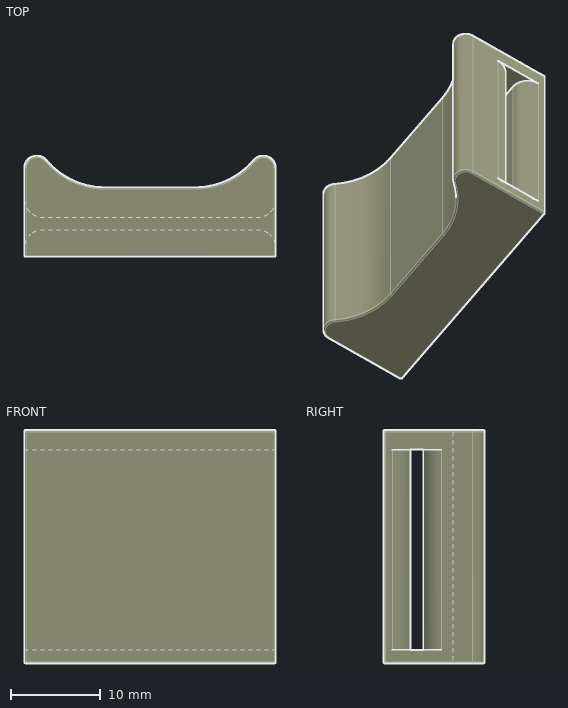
import cadquery as cq
import math

width = 28.0
depth = 11.28
height = 26.0
edge_radius = 0.2

floor_depth = 7.75
floor_half_width = 5.05
horn_radius = 1.4

slot_bottom = 1.55
slot_height = 22.25
throat_front = 3.05
throat_back = 4.42
mouth_radius = 2.05

half_width = width / 2
horn_x = half_width - horn_radius
horn_y = depth - horn_radius

sweep_run = horn_x - floor_half_width
horn_rise = horn_y - floor_depth
sweep_radius = (sweep_run**2 + horn_rise**2 - horn_radius**2) / (2 * (horn_rise + horn_radius))
sweep_y = floor_depth + sweep_radius
sweep_angle = math.atan2(sweep_run, sweep_y - horn_y)


def sweep_point(angle):
    """Point on the right-hand sweep, at an angle measured from its lowest point."""
    return (
        floor_half_width + sweep_radius * math.sin(angle),
        sweep_y - sweep_radius * math.cos(angle),
    )


def mirrored(point):
    """Mirror image of a point across the YZ plane."""
    return (-point[0], point[1])


def make_body():
    """Extruded cradle outline with rounded front, top and bottom edges."""
    floor_end = (floor_half_width, floor_depth)
    sweep_middle = sweep_point(sweep_angle / 2)
    sweep_end = sweep_point(sweep_angle)
    horn_top = (horn_x, depth)
    horn_side = (half_width, horn_y)
    body = (
        cq.Workplane("XY")
        .moveTo(-half_width, 0)
        .lineTo(half_width, 0)
        .lineTo(*horn_side)
        .threePointArc(horn_top, sweep_end)
        .threePointArc(sweep_middle, floor_end)
        .lineTo(*mirrored(floor_end))
        .threePointArc(mirrored(sweep_middle), mirrored(sweep_end))
        .threePointArc(mirrored(horn_top), mirrored(horn_side))
        .close()
        .extrude(height)
    )
    return body.faces("<Y or >Z or <Z").edges().fillet(edge_radius)


def make_slot():
    """Slot cutter whose walls curve outward to meet the side faces tangentially."""
    throat_half_length = half_width - mouth_radius
    arc_offset = mouth_radius * (1 - math.sqrt(0.5))
    arc_x = half_width - arc_offset
    mouth_front = throat_front - mouth_radius
    mouth_back = throat_back + mouth_radius
    return (
        cq.Workplane("XY", origin=(0, 0, slot_bottom))
        .moveTo(-throat_half_length, throat_front)
        .lineTo(throat_half_length, throat_front)
        .threePointArc((arc_x, throat_front - arc_offset), (half_width, mouth_front))
        .lineTo(half_width, mouth_back)
        .threePointArc((arc_x, throat_back + arc_offset), (throat_half_length, throat_back))
        .lineTo(-throat_half_length, throat_back)
        .threePointArc((-arc_x, throat_back + arc_offset), (-half_width, mouth_back))
        .lineTo(-half_width, mouth_front)
        .threePointArc((-arc_x, throat_front - arc_offset), (-throat_half_length, throat_front))
        .close()
        .extrude(slot_height)
    )


result = make_body().cut(make_slot())